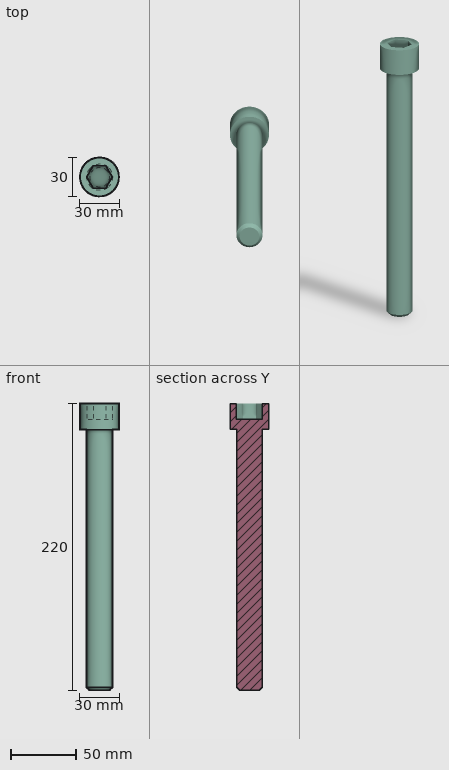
import cadquery as cq
import math

shank_diameter = 20.0
shank_length = 200.0
tip_chamfer = 2.5
head_diameter = 30.0
head_height = 20.0
socket_across_flats = 17.0
socket_depth = 12.0

socket_across_corners = socket_across_flats / math.cos(math.pi / 6)


def make_shank():
    """Cylindrical shank hanging below the head, chamfered at its tip."""
    shank = cq.Workplane("XY").circle(shank_diameter / 2).extrude(-shank_length)
    return shank.faces("<Z").chamfer(tip_chamfer)


def make_head():
    """Cylindrical head standing on the bearing face."""
    return cq.Workplane("XY").circle(head_diameter / 2).extrude(head_height)


def make_socket():
    """Hexagonal driving socket sunk from the top of the head, two corners on the X axis."""
    top_plane = cq.Workplane("XY").workplane(offset=head_height)
    return top_plane.polygon(6, socket_across_corners).extrude(-socket_depth)


result = make_head().union(make_shank()).cut(make_socket())